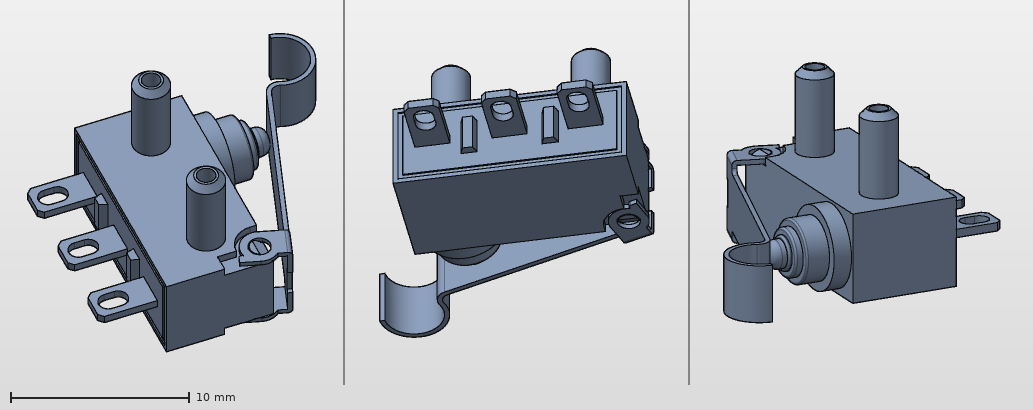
import cadquery as cq
import math


housing_length = 13.32
housing_depth = 6.5
housing_thickness = 5.3

groove_inset = 0.28
groove_width = 0.28
groove_depth = 0.1

tube_diameter = 2.2
tube_hole_diameter = 1.1
tube_height = 5
tube_chamfer = 0.4
tube_spacing = 7.98
first_tube_x = 2.63
tube_y = 3.54

plunger_stages = [
    (4.95, 1.1, 0),
    (3.8, 1.43, 0.11),
    (2.9, 0.48, 0.13),
    (2.1, 0.2, 0.13),
    (1.7, 0.9, 0.6),
]

terminal_width = 2.0
terminal_length = 3.5
terminal_thickness = 0.5
terminal_chamfer = 0.3
terminal_offsets = [-4.4, 0, 4.33]
terminal_slot_width = 1.15
terminal_slot_length = 1.76
terminal_slot_y = -2.26

rib_base_width = 0.93
rib_tip_width = 0.57
rib_height = 0.48
rib_length = 2.2
rib_spacing = 4.63

lever_tilt = 17.5
pivot_x = 12.28
pivot_y = 6.1
pivot_hole_diameter = 1.3
sheet_thickness = 0.3
lever_height = 1.81
strip_width = 3.37
bracket_width = 4.9
lobe_radius = 1.15
tail_x = 0.61
tab_depth = 1.22
tab_corner_radius = 0.15
bracket_notch_width = 1.65
bracket_notch_depth = 0.3
flare_radius = 0.3
hook_center = (-15.04, 2.52)
hook_radius = 2.0
hook_end_angle = 192.5
bend_radius = 0.5

recess_radius = 1.4
recess_floor_z = bracket_width / 2 - sheet_thickness
recess_depth = housing_thickness / 2 - recess_floor_z
pin_diameter = 1.19
pin_top_z = bracket_width / 2
pin_ramp_start_y = 5.87


def polar(center, radius, angle):
    """Point at an angle in degrees on a circle."""
    turn = math.radians(angle)
    return (center[0] + radius * math.cos(turn), center[1] + radius * math.sin(turn))


def block():
    return cq.Workplane("XY").box(
        housing_length, housing_depth, housing_thickness, centered=(False, False, True)
    )


def terminal_face():
    """Workplane on the terminal face, centred on it and facing -Y."""
    return cq.Workplane("XZ", origin=(housing_length / 2, 0, 0))


def frame_groove():
    def filled(inset):
        return terminal_face().rect(
            housing_length - 2 * inset, housing_thickness - 2 * inset
        ).extrude(-groove_depth)

    return filled(groove_inset).cut(filled(groove_inset + groove_width))


def tube(x):
    base = cq.Workplane("XY", origin=(x, tube_y, housing_thickness / 2))
    body = base.circle(tube_diameter / 2).extrude(tube_height)
    body = body.faces(">Z").chamfer(tube_chamfer)
    return body.cut(base.circle(tube_hole_diameter / 2).extrude(tube_height))


def plunger():
    """Stacked round stages, each standing on the one before it."""
    stack = None
    y = housing_depth
    for diameter, height, fillet in plunger_stages:
        plane = cq.Workplane("XZ", origin=(first_tube_x, y, 0))
        stage = plane.circle(diameter / 2).extrude(-height)
        if fillet:
            stage = stage.faces(">Y").edges().fillet(fillet)
        stack = stack.union(stage) if stack else stage
        y += height
    return stack


def terminal(x):
    blade = (
        cq.Workplane("XY", origin=(x, -terminal_length / 2, 0))
        .box(terminal_width, terminal_length, terminal_thickness)
        .edges("|Z and <Y")
        .chamfer(terminal_chamfer)
    )
    slot = (
        cq.Workplane("XY", origin=(x, terminal_slot_y, 0))
        .slot2D(terminal_slot_length, terminal_slot_width, 90)
        .extrude(terminal_thickness, both=True)
    )
    return blade.cut(slot)


def rib(x):
    """Short rib across the terminal face, tapering towards its tip."""
    return (
        cq.Workplane("XY", origin=(x, 0, 0))
        .moveTo(-rib_base_width / 2, 0)
        .lineTo(rib_base_width / 2, 0)
        .lineTo(rib_tip_width / 2, -rib_height)
        .lineTo(-rib_tip_width / 2, -rib_height)
        .close()
        .extrude(rib_length / 2, both=True)
    )


def upper_recess():
    """Pocket for a lever cheek, open to the plunger side and to the right end."""
    plane = cq.Workplane("XY", origin=(0, 0, recess_floor_z))
    left = pivot_x - recess_radius
    bottom = pivot_y - recess_radius
    return (
        plane.moveTo(left, housing_depth)
        .lineTo(left, pivot_y)
        .threePointArc(polar((pivot_x, pivot_y), recess_radius, 225), (pivot_x, bottom))
        .lineTo(pivot_x, tube_y)
        .lineTo(housing_length, tube_y)
        .lineTo(housing_length, housing_depth)
        .close()
        .extrude(recess_depth)
    )


def upper_pin():
    """Pivot pin with a ramp that falls to the recess floor at the plunger side."""
    pin = (
        cq.Workplane("XY", origin=(pivot_x, pivot_y, recess_floor_z))
        .circle(pin_diameter / 2)
        .extrude(pin_top_z - recess_floor_z)
    )
    far_y = pivot_y + pin_diameter
    ramp = (
        cq.Workplane("YZ", origin=(pivot_x, 0, 0))
        .moveTo(pin_ramp_start_y, pin_top_z)
        .lineTo(housing_depth, recess_floor_z)
        .lineTo(far_y, recess_floor_z)
        .lineTo(far_y, pin_top_z)
        .close()
        .extrude(pin_diameter, both=True)
    )
    return pin.cut(ramp)


def make_housing():
    body = block().cut(frame_groove()).union(plunger())
    for i in range(2):
        body = body.union(tube(first_tube_x + i * tube_spacing))
    for offset in terminal_offsets:
        body = body.union(terminal(housing_length / 2 + offset))
    for side in (-1, 1):
        body = body.union(rib(housing_length / 2 + side * rib_spacing / 2))
    recess = upper_recess()
    pin = upper_pin()
    body = body.cut(recess).cut(recess.mirror("XY"))
    return body.union(pin).union(pin.mirror("XY"))


def strip():
    """Sheet strip with a reverse bend and a round hook at its free end."""
    inner_hook = hook_radius - sheet_thickness
    outer_bend = bend_radius + sheet_thickness
    under_y = lever_height - sheet_thickness
    rise = lever_height + bend_radius - hook_center[1]
    run = math.sqrt((hook_radius + bend_radius) ** 2 - rise**2)
    bend_center = (hook_center[0] + run, hook_center[1] + rise)
    link_angle = math.degrees(math.atan2(rise, run))
    hook_middle = (link_angle + hook_end_angle) / 2
    bend_start = 180 + link_angle
    bend_end = 270
    bend_middle = (bend_start + bend_end) / 2
    outer_link = polar(hook_center, hook_radius, link_angle)
    outer_end = polar(hook_center, hook_radius, hook_end_angle)
    inner_link = polar(hook_center, inner_hook, link_angle)
    inner_end = polar(hook_center, inner_hook, hook_end_angle)
    return (
        cq.Workplane("XY")
        .moveTo(tail_x, lever_height)
        .lineTo(bend_center[0], lever_height)
        .threePointArc(polar(bend_center, bend_radius, bend_middle), outer_link)
        .threePointArc(polar(hook_center, hook_radius, hook_middle), outer_end)
        .lineTo(*inner_end)
        .threePointArc(polar(hook_center, inner_hook, hook_middle), inner_link)
        .threePointArc(polar(bend_center, outer_bend, bend_middle), (bend_center[0], under_y))
        .lineTo(tail_x, under_y)
        .close()
        .extrude(strip_width / 2, both=True)
    )


def cheek_block():
    """Cheek outline through the full bracket width, bored for the pivot pins."""
    lobe_y = math.sqrt(lobe_radius**2 - tail_x**2)
    tail_angle = math.degrees(math.acos(tail_x / lobe_radius))
    origin = (0, 0)
    outline = (
        cq.Workplane("XY")
        .moveTo(-lobe_radius, lever_height)
        .lineTo(-lobe_radius, 0)
        .threePointArc(polar(origin, lobe_radius, 240), (tail_x, -lobe_y))
        .lineTo(tail_x, -tab_depth)
        .lineTo(lobe_radius, -tab_depth)
        .lineTo(lobe_radius, 0)
        .threePointArc(polar(origin, lobe_radius, tail_angle / 2), (tail_x, lobe_y))
        .lineTo(tail_x, lever_height)
        .close()
        .extrude(bracket_width / 2, both=True)
    )
    tab_corner = cq.selectors.NearestToPointSelector((tail_x, -tab_depth, 0))
    outline = outline.edges("|Z").edges(tab_corner).fillet(tab_corner_radius)
    bore = cq.Workplane("XY").circle(pivot_hole_diameter / 2).extrude(bracket_width, both=True)
    return outline.cut(bore)


def bracket():
    """U-shaped end of the lever: two cheeks joined by a web with rounded folds."""
    body = cheek_block().faces(">Y").edges("|X").fillet(sheet_thickness)
    under_y = lever_height - sheet_thickness
    span = 4 * lobe_radius
    gap = cq.Workplane("XY", origin=(0, under_y - span / 2, 0))
    return body.cut(gap.box(span, span, bracket_width - 2 * sheet_thickness))


def make_lever():
    body = strip().union(bracket())
    web_y = lever_height - sheet_thickness / 2
    for side in (-1, 1):
        inner_corner = cq.selectors.NearestToPointSelector((-lobe_radius, web_y, side * strip_width / 2))
        body = body.edges("|Y").edges(inner_corner).fillet(flare_radius)
    notch = cq.Workplane("XY", origin=(tail_x, lever_height, 0)).box(
        2 * bracket_notch_depth, 4 * sheet_thickness, bracket_notch_width
    )
    body = body.cut(notch)
    return body.rotate((0, 0, 0), (0, 0, 1), -lever_tilt).translate((pivot_x, pivot_y, 0))


housing = make_housing()
lever = make_lever()

result = cq.Compound.makeCompound([housing.val(), lever.val()])